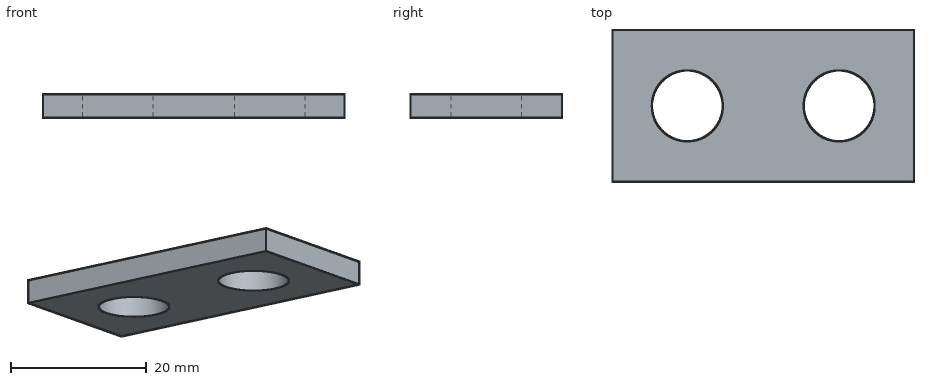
import cadquery as cq

LENGTH = 44.45
WIDTH = 22.35
THICKNESS = 3.5

HOLE_DIAMETER = 10.41
HOLE_SPACING = WIDTH


def make_plate():
    """Rectangular plate centred on the origin."""
    return cq.Workplane("XY").box(LENGTH, WIDTH, THICKNESS)


def drill_holes(plate):
    """Drill the pair of through holes along X."""
    hole_centres = [(-HOLE_SPACING / 2, 0), (HOLE_SPACING / 2, 0)]
    return plate.faces(">Z").workplane().pushPoints(hole_centres).hole(HOLE_DIAMETER)


result = drill_holes(make_plate())